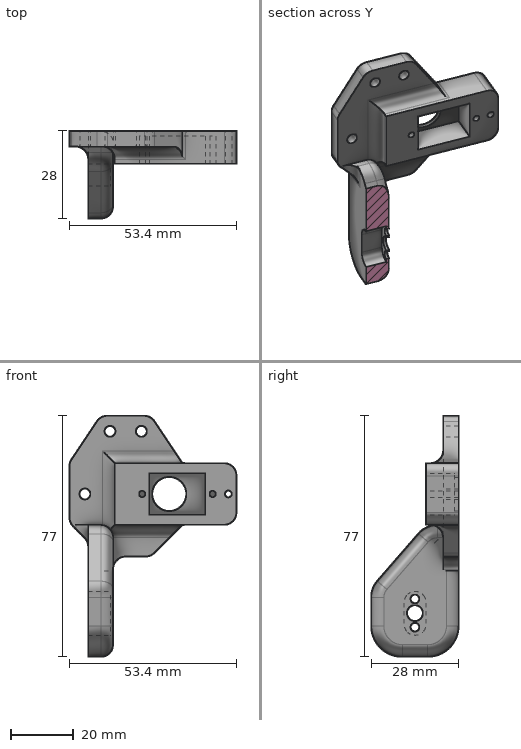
import cadquery as cq
import math


plate_width = 36.0
plate_thickness = 5.0
plate_top = 25.0
plate_bottom = -20.0
shoulder_width = 10.0
shoulder_z = 10.0
left_chamfer_z = -9.1
right_chamfer = 10.0
plate_corner_radius = 4.0
plate_hole_diameter = 3.4
plate_hole_inset = 5.0
top_hole_xs = (13.0, 23.0)

block_left = 14.5
block_right = 53.38
block_height = 19.75
block_depth = 10.5
block_corner_radius = 4.0
block_top = block_height / 2
block_bottom = -block_height / 2
pocket_center_x = 34.5
pocket_width = 17.9
pocket_height = 13.1
pocket_depth = 9.0
shaft_hole_x = 31.9
shaft_hole_diameter = 10.8
screw_spacing = 22.5
screw_hole_diameter = 2.0
screw_hole_depth = pocket_depth
end_hole_x = 50.75
end_hole_diameter = 2.1

leg_left = 6.0
leg_right = 14.0
leg_depth = 28.0
leg_bottom = -52.0
leg_nose_z = -30.0
leg_root_length = 4.5
leg_bottom_radius = 10.0
leg_nose_radius = 8.0
leg_edge_radius = 4.0
horn_y = -leg_depth / 2
horn_z = -38.0
horn_slot_length = 14.0
horn_slot_width = 7.0
horn_slot_depth = 7.0
horn_hole_diameter = 5.0
horn_screw_diameter = 2.7
horn_screw_offset = 4.5

blend_radius = 4.0
blend_depth = plate_thickness + blend_radius


def rod(x, z, diameter, start_depth, end_depth):
    """Cylinder along Y between two depths measured from the back."""
    base = cq.Workplane("XZ", origin=(x, -start_depth, z))
    return base.circle(diameter / 2).extrude(end_depth - start_depth)


def round_corners(prism, depth, corners, radius):
    """Round the edges along Y of a prism standing on the back at the given XZ corners."""
    for x, z in corners:
        edge_middle = (x, -depth / 2, z)
        prism = prism.edges(cq.selectors.NearestToPointSelector(edge_middle)).fillet(radius)
    return prism


def plate_prism(depth):
    """Plate outline, including the roots of the leg and of the servo arm, extruded from the back."""
    arm_end = block_right - block_corner_radius
    leg_root_z = plate_bottom - leg_root_length
    arm_step = shoulder_z - block_top
    arm_root_x = plate_width + math.sqrt(blend_radius**2 - (blend_radius - arm_step) ** 2)

    left_chamfer = (0, left_chamfer_z)
    left_shoulder = (0, shoulder_z)
    top_left = (shoulder_width, plate_top)
    top_right = (plate_width - shoulder_width, plate_top)
    bottom_right = (plate_width - right_chamfer, plate_bottom)
    leg_inner = (leg_right, plate_bottom)
    leg_outer = (leg_left, left_chamfer_z - leg_left)

    prism = (
        cq.Workplane("XZ")
        .polyline([leg_outer, left_chamfer, left_shoulder, top_left, top_right, (plate_width, shoulder_z)])
        .radiusArc((arm_root_x, block_top), -blend_radius)
        .lineTo(arm_end, block_top)
        .lineTo(arm_end, block_bottom)
        .lineTo(arm_root_x, block_bottom)
        .radiusArc((plate_width, -shoulder_z), -blend_radius)
        .lineTo(*bottom_right)
        .lineTo(*leg_inner)
        .lineTo(leg_right, leg_root_z)
        .lineTo(leg_left, leg_root_z)
        .close()
        .extrude(depth)
    )
    plate_corners = [left_chamfer, left_shoulder, top_left, top_right, bottom_right, leg_inner, leg_outer]
    return round_corners(prism, depth, plate_corners, plate_corner_radius)


def left_flank(wall_x, low_z, high_z):
    """Bar along Z between the back and a left wall, its free side a concave quarter circle."""
    foot_x = wall_x - blend_radius
    return (
        cq.Workplane("XY", origin=(0, 0, low_z))
        .moveTo(wall_x, 0)
        .lineTo(foot_x, 0)
        .lineTo(foot_x, -plate_thickness)
        .radiusArc((wall_x, -blend_depth), blend_radius)
        .close()
        .extrude(high_z - low_z)
    )


def upright_flare(left_x, right_x):
    """Bar along X whose top and bottom walls flare out to the plate face."""
    foot_z = block_top + blend_radius
    return (
        cq.Workplane("YZ", origin=(left_x, 0, 0))
        .moveTo(0, -foot_z)
        .lineTo(-plate_thickness, -foot_z)
        .radiusArc((-blend_depth, block_bottom), -blend_radius)
        .lineTo(-blend_depth, block_top)
        .radiusArc((-plate_thickness, foot_z), -blend_radius)
        .lineTo(0, foot_z)
        .close()
        .extrude(right_x - left_x)
    )


def blends():
    """Mitred concave blends around the servo block and beside the leg, trimmed to the plate outline."""
    foot_x = block_left - blend_radius
    foot_z = block_top + blend_radius
    mitred_flank = left_flank(block_left, -foot_z, foot_z).intersect(upright_flare(foot_x, block_left))
    around_block = mitred_flank.union(upright_flare(block_left, block_right))
    beside_leg = left_flank(leg_left, leg_nose_z, block_bottom)
    return around_block.union(beside_leg).intersect(plate_prism(blend_depth))


def servo_block():
    """Block that carries the servo, with its free end rounded."""
    block_length = block_right - block_left
    block = (
        cq.Workplane("XZ", origin=(block_left + block_length / 2, 0, 0))
        .rect(block_length, block_height)
        .extrude(block_depth)
    )
    return block.edges("|Y and >X").fillet(block_corner_radius)


def leg():
    """Hanging leg with a sloping front and a rounded inner rim."""
    outline = [
        (0, leg_bottom),
        (0, block_bottom),
        (-block_depth, block_bottom),
        (-leg_depth, leg_nose_z),
        (-leg_depth, leg_bottom),
    ]
    body = (
        cq.Workplane("YZ", origin=(leg_left, 0, 0))
        .polyline(outline)
        .close()
        .extrude(leg_right - leg_left)
    )
    body = body.edges("|X and <Z").fillet(leg_bottom_radius)
    for y, z in [(-block_depth, block_bottom), (-leg_depth, leg_nose_z)]:
        edge_middle = ((leg_left + leg_right) / 2, y, z)
        body = body.edges(cq.selectors.NearestToPointSelector(edge_middle)).fillet(leg_nose_radius)
    rim_point = (leg_right, -leg_depth, (leg_nose_z + leg_bottom) / 2)
    return body.edges(cq.selectors.NearestToPointSelector(rim_point)).fillet(leg_edge_radius)


def plate_holes():
    """Mounting holes through the plate."""
    hole_z = plate_top - plate_hole_inset
    holes = rod(plate_hole_inset, 0, plate_hole_diameter, 0, plate_thickness)
    for x in top_hole_xs:
        holes = holes.union(rod(x, hole_z, plate_hole_diameter, 0, plate_thickness))
    return holes


def servo_cutouts():
    """Servo pocket, shaft hole, blind screw holes and the through hole at the free end."""
    pocket = (
        cq.Workplane("XZ", origin=(pocket_center_x, pocket_depth - block_depth, 0))
        .rect(pocket_width, pocket_height)
        .extrude(pocket_depth)
    )
    cutouts = pocket.union(rod(shaft_hole_x, 0, shaft_hole_diameter, 0, block_depth))
    for side in (-1, 1):
        screw_x = pocket_center_x + side * screw_spacing / 2
        screw_start = block_depth - screw_hole_depth
        cutouts = cutouts.union(rod(screw_x, 0, screw_hole_diameter, screw_start, block_depth))
    return cutouts.union(rod(end_hole_x, 0, end_hole_diameter, 0, block_depth))


def horn_cutouts():
    """Slot for a servo horn in the outer face of the leg, with a shaft hole and two screw holes."""
    base = cq.Workplane("YZ", origin=(leg_left, horn_y, horn_z))
    thickness = leg_right - leg_left
    slot = base.slot2D(horn_slot_length, horn_slot_width, 90).extrude(horn_slot_depth)
    shaft = base.circle(horn_hole_diameter / 2).extrude(thickness)
    screw_points = [(0, -horn_screw_offset), (0, horn_screw_offset)]
    screws = base.pushPoints(screw_points).circle(horn_screw_diameter / 2).extrude(thickness)
    return slot.union(shaft).union(screws)


body = plate_prism(plate_thickness).union(blends()).union(servo_block()).union(leg())
result = body.cut(plate_holes()).cut(servo_cutouts()).cut(horn_cutouts())